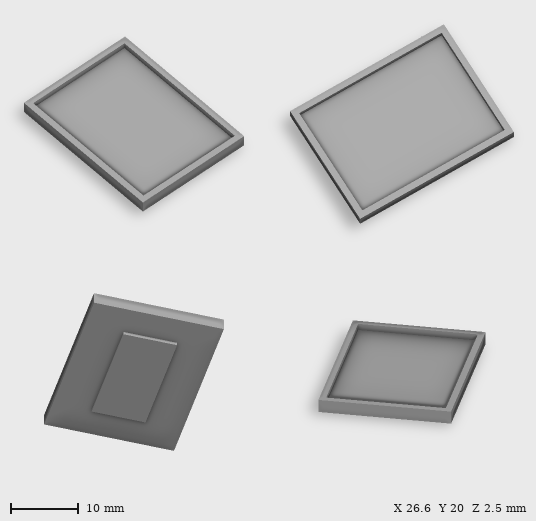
import cadquery as cq

tray_length = 26.63
tray_width = 20.03
tray_height = 2.0
wall = 0.99
pocket_depth = 1.0

pad_length = 16.9
pad_width = 8.3
pad_height = 0.5
pad_shift_x = -0.19

tray = cq.Workplane("XY").box(tray_length, tray_width, tray_height, centered=(True, True, False))

pocket = (
    cq.Workplane("XY")
    .workplane(offset=tray_height - pocket_depth)
    .rect(tray_length - 2 * wall, tray_width - 2 * wall)
    .extrude(pocket_depth)
)

pad = (
    cq.Workplane("XY")
    .center(pad_shift_x, 0)
    .rect(pad_length, pad_width)
    .extrude(-pad_height)
)

result = tray.cut(pocket).union(pad)